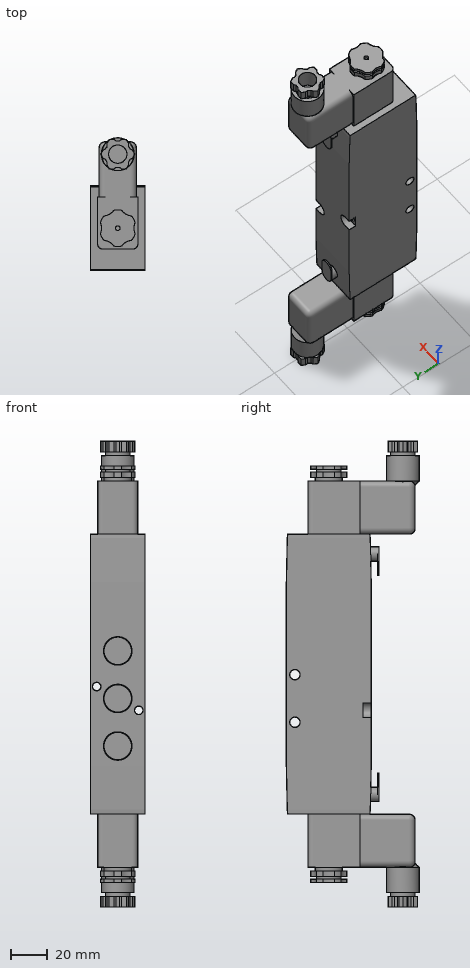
import cadquery as cq
import math


body_width = 30.0
body_depth = 46.5
body_half_length = 50.2
end_block_length = 24.0
end_plate_thickness = 2.3
block_taper = 0.5
plate_inset_x = 0.1
plate_inset_y = 0.25
block_end_z = body_half_length + end_block_length
coil_base_z = block_end_z + end_plate_thickness
joint_z = 23.7
front_y = -body_depth / 2
back_y = body_depth / 2

port_centre_z = (joint_z - body_half_length) / 2
port_pitch = 26.0
port_diameter = 15.0
port_depth = 15.0
port_chamfer = 0.3
side_hole_diameter = 5.5
side_hole_y = front_y + 4.75
mount_hole_diameter = 4.5
mount_bore_diameter = 8.0
mount_bore_depth = 4.5
mount_hole_x = 11.5

pin_diameter = 8.0
pin_z = 65.7
pin_end_y = back_y + 4.2
lever_thickness = 0.8
lever_length = 15.8

coil_width = 22.0
coil_height = 29.1
coil_front_y = front_y + 11.8
coil_back_y = front_y + 40.3
coil_fillet = 2.9
coil_top_z = coil_base_z + coil_height

stem_diameter = 15.0
stem_height = 1.9
groove_diameter = 13.5
groove_height = 1.4
lower_disc_thickness = 3.1
upper_disc_thickness = 1.9
lobe_radius = 10.0
lobe_half_angle = 12.0
valley_radius = 8.85
nut_hole_diameter = 2.5
nut_hole_depth = 2.0

overall_depth = 72.7
plug_width = 20.5
plug_back_y = front_y + 70.5
plug_fillet = 3.3
gland_diameter = 18.0
gland_height = 13.8
gland_y = front_y + overall_depth - gland_diameter / 2
gland_root_drop = 3.0
gland_neck_diameter = 13.5
gland_neck_height = 2.0
overall_half_length = 127.35
gland_neck_z = coil_top_z + gland_height
gland_nut_z = gland_neck_z + gland_neck_height
gland_nut_height = overall_half_length - gland_nut_z
gland_nut_radius = 9.3
flute_depth = 0.8
flute_half_width = 2.1
flute_floor_half_width = 0.9
cable_hole_diameter = 10.0
cable_hole_depth = 12.0
sides = 6


def cylinder(diameter, height, y, base_z):
    """Upright cylinder on the X = 0 plane."""
    return cq.Workplane("XY", origin=(0, y, base_z)).circle(diameter / 2).extrude(height)


def box_between(width, near_y, far_y, base_z, height):
    """Box centred on X = 0 that spans two Y positions."""
    centre_y = (near_y + far_y) / 2
    return cq.Workplane("XY", origin=(0, centre_y, base_z)).rect(width, far_y - near_y).extrude(height)


def polar(radius, angle):
    """Point at an angle in degrees."""
    radians = math.radians(angle)
    return (radius * math.cos(radians), radius * math.sin(radians))


def loft_block(base_z, height, base_size, top_size):
    """Tapered block between two centred rectangles."""
    base = cq.Workplane("XY", origin=(0, 0, base_z)).rect(*base_size)
    return base.workplane(offset=height).rect(*top_size).loft(combine=True)


def make_end_block():
    """Tapered end block topped by its end plate."""
    base_size = (body_width, body_depth)
    plate_size = (body_width, body_depth - 2 * block_taper)
    top_size = (plate_size[0] - 2 * plate_inset_x, plate_size[1] - 2 * plate_inset_y)
    block = loft_block(body_half_length, end_block_length, base_size, plate_size)
    return block.union(loft_block(block_end_z, end_plate_thickness, plate_size, top_size))


def make_override():
    """Override pin and its lever, which points towards the middle of the valve."""
    pin_root_y = back_y - 2 * block_taper
    pin = (
        cq.Workplane("XZ", origin=(0, pin_root_y, pin_z))
        .circle(pin_diameter / 2)
        .extrude(pin_root_y - pin_end_y)
    )
    lever_z = pin_z + pin_diameter / 2 - lever_length / 2
    lever = (
        cq.Workplane("XZ", origin=(0, pin_end_y, lever_z))
        .slot2D(lever_length, pin_diameter, 90)
        .extrude(lever_thickness)
    )
    return pin.union(lever)


def make_coil():
    """Solenoid coil block with rounded front corners."""
    coil = box_between(coil_width, coil_front_y, coil_back_y, coil_base_z, coil_height)
    return coil.edges("|Z and <Y").fillet(coil_fillet)


def lobed_disc(base_z, thickness):
    """Disc with six lobes, one of them on the +Y axis, and hollow arcs between them."""
    step = 360 / sides
    start = polar(lobe_radius, step / 2 - lobe_half_angle)
    outline = cq.Workplane("XY", origin=(0, 0, base_z)).moveTo(*start)
    for index in range(sides):
        lobe_angle = step * (index + 0.5)
        outline = outline.threePointArc(
            polar(lobe_radius, lobe_angle), polar(lobe_radius, lobe_angle + lobe_half_angle)
        ).threePointArc(
            polar(valley_radius, lobe_angle + step / 2),
            polar(lobe_radius, lobe_angle + step - lobe_half_angle),
        )
    return outline.close().extrude(thickness)


def make_coil_nut():
    """Grooved nut that holds the coil, with a blind hole in its end."""
    lower_z = coil_top_z + stem_height
    groove_z = lower_z + lower_disc_thickness
    upper_z = groove_z + groove_height
    top_z = upper_z + upper_disc_thickness
    nut = cylinder(stem_diameter, stem_height, 0, coil_top_z)
    nut = nut.union(lobed_disc(lower_z, lower_disc_thickness))
    nut = nut.union(cylinder(groove_diameter, groove_height, 0, groove_z))
    nut = nut.union(lobed_disc(upper_z, upper_disc_thickness))
    return nut.cut(cylinder(nut_hole_diameter, nut_hole_depth, 0, top_z - nut_hole_depth))


def make_plug():
    """Rounded connector box behind the coil."""
    plug = box_between(plug_width, coil_back_y, plug_back_y, coil_base_z, coil_height)
    return plug.edges("|Y or >Y").fillet(plug_fillet)


def make_gland_nut():
    """Hexagonal gland nut, corners on X, with a flute along each side."""
    nut = (
        cq.Workplane("XY", origin=(0, gland_y, gland_nut_z))
        .polygon(sides, 2 * gland_nut_radius)
        .extrude(gland_nut_height)
    )
    flat_radius = gland_nut_radius * math.cos(math.pi / sides)
    floor_radius = flat_radius - flute_depth
    flute = (
        cq.Workplane("XY", origin=(0, gland_y, gland_nut_z))
        .polyline([
            (-flute_half_width, flat_radius),
            (-flute_floor_half_width, floor_radius),
            (flute_floor_half_width, floor_radius),
            (flute_half_width, flat_radius),
        ])
        .close()
        .extrude(gland_nut_height)
    )
    for index in range(sides):
        axis_start = (0, gland_y, 0)
        axis_end = (0, gland_y, 1)
        nut = nut.cut(flute.rotate(axis_start, axis_end, index * 360 / sides))
    return nut


def make_gland():
    """Cable gland: conical root, barrel, neck and nut around a blind cable hole."""
    root_diameter = gland_diameter - 2 * gland_root_drop
    root = (
        cq.Workplane("XY", origin=(0, gland_y, coil_top_z - gland_root_drop))
        .circle(root_diameter / 2)
        .workplane(offset=gland_root_drop)
        .circle(gland_diameter / 2)
        .loft(combine=True)
    )
    gland = root.union(cylinder(gland_diameter, gland_height, gland_y, coil_top_z))
    gland = gland.union(cylinder(gland_neck_diameter, gland_neck_height, gland_y, gland_neck_z))
    gland = gland.union(make_gland_nut())
    hole_z = overall_half_length - cable_hole_depth
    return gland.cut(cylinder(cable_hole_diameter, cable_hole_depth, gland_y, hole_z))


def make_end():
    """Everything beyond the centre body at the +Z end."""
    end = make_end_block()
    for piece in (make_override(), make_coil(), make_coil_nut(), make_plug(), make_gland()):
        end = end.union(piece, clean=False)
    return end


def cut_ports(body):
    """Three blind ports in the front face, each with a small chamfer at its mouth."""
    for step in (-1, 0, 1):
        port_z = port_centre_z + step * port_pitch
        port = (
            cq.Workplane("XZ", origin=(0, front_y, port_z))
            .circle(port_diameter / 2)
            .extrude(-port_depth)
        )
        mouth = (
            cq.Workplane("XZ", origin=(0, front_y, port_z))
            .circle(port_diameter / 2 + port_chamfer)
            .workplane(offset=-port_chamfer)
            .circle(port_diameter / 2)
            .loft(combine=True)
        )
        body = body.cut(port).cut(mouth)
    return body


def cut_side_holes(body):
    """Two holes across the body, near the front face."""
    for side in (-1, 1):
        hole = (
            cq.Workplane("YZ", origin=(0, side_hole_y, port_centre_z + side * port_pitch / 2))
            .circle(side_hole_diameter / 2)
            .extrude(body_width, both=True)
        )
        body = body.cut(hole)
    return body


def cut_mount_holes(body):
    """Two diagonal through holes, counterbored from the back; each bore opens to the near side."""
    for side in (-1, 1):
        hole_z = port_centre_z - side * port_pitch / 4
        plane = cq.Workplane("XZ", origin=(side * mount_hole_x, back_y, hole_z))
        body = body.cut(plane.circle(mount_hole_diameter / 2).extrude(body_depth))
        body = body.cut(plane.circle(mount_bore_diameter / 2).extrude(mount_bore_depth))
        slot = plane.center(side * mount_bore_diameter / 2, 0).rect(mount_bore_diameter, mount_bore_diameter)
        body = body.cut(slot.extrude(mount_bore_depth))
    return body


def make_body():
    """Spacer and centre block with all their holes."""
    spacer = box_between(body_width, front_y, back_y, joint_z, body_half_length - joint_z)
    block = box_between(body_width, front_y, back_y, -body_half_length, joint_z + body_half_length)
    block = cut_mount_holes(cut_side_holes(cut_ports(block)))
    return block.union(spacer, clean=False)


upper_end = make_end()
lower_end = upper_end.mirror("XY")
result = make_body().union(upper_end, clean=False).union(lower_end, clean=False)